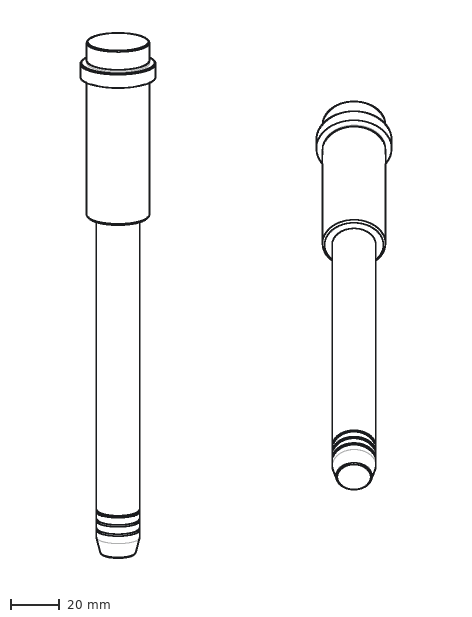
import cadquery as cq

length = 220.0
collar_diameter = 31.0
body_diameter = 26.0
stem_diameter = 18.0
tip_diameter = 14.7

body_bottom = 144.8
collar_bottom = 204.8
collar_top = 211.0
taper_height = 7.0

edge_chamfer = 0.5
body_bottom_chamfer = 0.9

groove_radius = 0.5
stem_groove_count = 3
stem_groove_pitch = 4.0
lowest_stem_groove = 10.5


def half_outline():
    """Half section of the pin, from the tip up to the top face, on the -X side of the axis."""
    tip = tip_diameter / 2
    stem = stem_diameter / 2
    body = body_diameter / 2
    collar = collar_diameter / 2
    radius_height_points = [
        (0, 0),
        (tip - edge_chamfer, 0),
        (tip, edge_chamfer),
        (stem, taper_height),
        (stem, body_bottom),
        (body - body_bottom_chamfer, body_bottom),
        (body, body_bottom + body_bottom_chamfer),
        (body, collar_bottom),
        (collar, collar_bottom),
        (collar, collar_top - edge_chamfer),
        (collar - edge_chamfer, collar_top),
        (body, collar_top),
        (body, length - edge_chamfer),
        (body - edge_chamfer, length),
        (0, length),
    ]
    points = [(-radius, height) for radius, height in radius_height_points]
    return cq.Workplane("XZ").polyline(points).close()


def groove_ring(surface_diameter, height):
    """Torus centred on a cylinder surface, used to cut a half-round groove."""
    section = cq.Workplane("XZ").center(-surface_diameter / 2, height).circle(groove_radius)
    axis_x = surface_diameter / 2
    return section.revolve(360, (axis_x, 0), (axis_x, 1))


result = half_outline().revolve(360, (0, 0), (0, 1))

for index in range(stem_groove_count):
    groove_height = lowest_stem_groove + index * stem_groove_pitch
    result = result.cut(groove_ring(stem_diameter, groove_height))

for relief_height in (collar_bottom - groove_radius, collar_top + groove_radius):
    result = result.cut(groove_ring(body_diameter, relief_height))